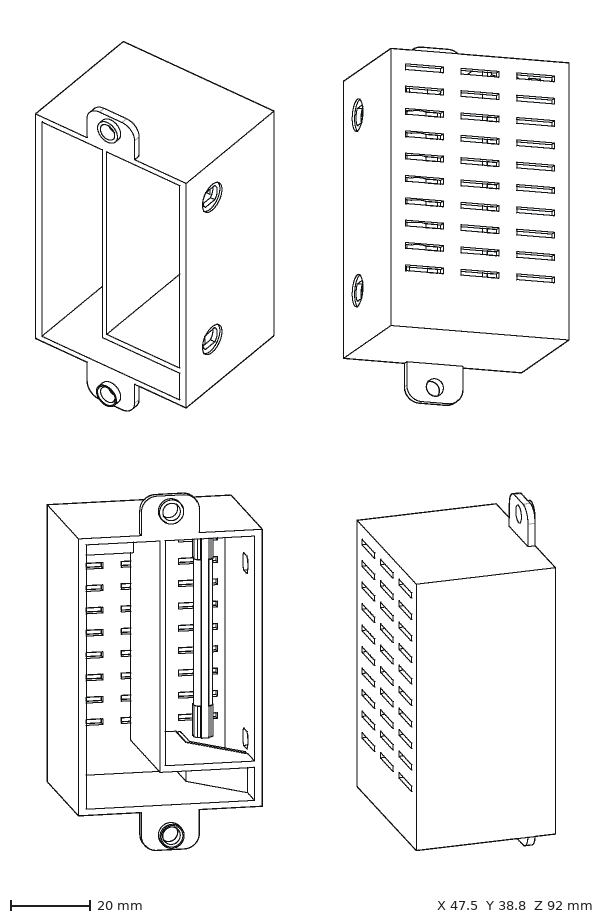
import cadquery as cq
import math


BOX_WIDTH = 47.5
BOX_DEPTH = 37.0
BOX_HEIGHT = 71.9
SIDE_WALL = 2.0
END_WALL = 1.7
BACK_WALL = 2.0
INNER_RIGHT = BOX_WIDTH / 2 - SIDE_WALL
INNER_LEFT = -INNER_RIGHT
INNER_TOP = BOX_HEIGHT / 2 - END_WALL
INNER_BOTTOM = -INNER_TOP
INNER_BACK = BOX_DEPTH - BACK_WALL

POCKET_LEFT = -1.3
POCKET_BOTTOM = -24.1
DIVIDER_SIDE = 1.4
DIVIDER_FLOOR = 1.7
CHANNEL_RIGHT = POCKET_LEFT - DIVIDER_SIDE
CHANNEL_TOP = POCKET_BOTTOM - DIVIDER_FLOOR

TOTAL_HEIGHT = 92
EAR_WIDTH = 15.0
EAR_THICKNESS = 1.9
EAR_CORNER_RADIUS = 4.0
BOSS_Z = TOTAL_HEIGHT / 2 - EAR_CORNER_RADIUS
BOSS_DIAMETER = 6.3
EAR_HOLE_DIAMETER = 4.5
TOP_BOSS_LENGTH = 1.4
BOTTOM_BOSS_LENGTH = 1.8
BOTTOM_BOSS_CHAMFER = 0.55

SLOT_WIDTH = 10.0
SLOT_HEIGHT = 1.5
SLOT_COLUMNS = 3
SLOT_ROWS = 10
SLOT_PITCH_X = 14.8
SLOT_PITCH_Z = 5.8
SLOT_CENTER_Z = 5.4

PARTITION_LEFT = 9.1
PARTITION_FRONT = 8.3
PARTITION_RUN = 15.0
PARTITION_WALL = 1.7
PARTITION_STEP = 0.2

SIDE_HOLE_DIAMETER = 6.0
SIDE_HOLE_HEIGHT = 4.5
SIDE_HOLE_Y = 10.95
SIDE_HOLE_SPACING = 45.5
COUNTERBORE_DIAMETER = 8.2
COUNTERBORE_DEPTH = 0.6

RAIL_X = 15.7
RAIL_WIDTH = 4.9
RAIL_DEPTH = 4.0
RAIL_FLAT = 1.9
RAIL_TOP = 29.1
RAIL_END = 8.2
RAIL_LENGTH = 54.4
RAIL_CENTER_Z = RAIL_TOP - RAIL_LENGTH / 2
SHOULDER_DROP = 1.0
SHOULDER_CHAMFER_X = 0.6
SHOULDER_CHAMFER_Y = 0.6

PANEL_TOP = 30.7
PANEL_BOTTOM = 23.7
PANEL_DEPTH = 3.7
LIP_LEFT = -20.7
LIP_WIDTH = 16.9
LIP_TOP = 33.4
LIP_EDGE = 32.75
LIP_BOTTOM = 31.65
LIP_DEPTH = 5.5
LIP_SLOPE_DEPTH = 2.0
FEET = 3
FOOT_WIDTH = 2.9
FOOT_PITCH = 6.1
FIRST_FOOT_X = -18.3
FOOT_DEPTH = 3.2
FOOT_RADIUS = 0.8


def block(x0, x1, y0, y1, z0, z1):
    """Box between two opposite corners."""
    return cq.Workplane("XY").box(x1 - x0, y1 - y0, z1 - z0, centered=False).translate((x0, y0, z0))


def disk(diameter, y0, y1, z):
    """Cylinder along Y on the middle plane of the box."""
    return cq.Workplane("XZ", origin=(0, y0, z)).circle(diameter / 2).extrude(y0 - y1)


def make_shell():
    half_width = BOX_WIDTH / 2
    half_height = BOX_HEIGHT / 2
    shell = block(-half_width, half_width, 0, BOX_DEPTH, -half_height, half_height)
    shell = shell.cut(block(POCKET_LEFT, INNER_RIGHT, 0, INNER_BACK, POCKET_BOTTOM, INNER_TOP))
    shell = shell.cut(block(INNER_LEFT, CHANNEL_RIGHT, 0, INNER_BACK, INNER_BOTTOM, INNER_TOP))
    return shell.cut(block(INNER_LEFT, INNER_RIGHT, 0, INNER_BACK, INNER_BOTTOM, CHANNEL_TOP))


def add_ears(body):
    half_height = TOTAL_HEIGHT / 2
    ears = block(-EAR_WIDTH / 2, EAR_WIDTH / 2, 0, EAR_THICKNESS, -half_height, half_height)
    ears = ears.edges("|Y").fillet(EAR_CORNER_RADIUS)
    ears = ears.cut(block(-EAR_WIDTH, EAR_WIDTH, 0, EAR_THICKNESS, INNER_BOTTOM, INNER_TOP))
    body = body.union(ears)
    bottom_boss = disk(BOSS_DIAMETER, -BOTTOM_BOSS_LENGTH, 0, -BOSS_Z)
    body = body.union(disk(BOSS_DIAMETER, -TOP_BOSS_LENGTH, 0, BOSS_Z)).union(bottom_boss)
    for z in (-BOSS_Z, BOSS_Z):
        body = body.cut(disk(EAR_HOLE_DIAMETER, -BOTTOM_BOSS_LENGTH, EAR_THICKNESS, z))
    flare = (
        cq.Workplane("XZ", origin=(0, -BOTTOM_BOSS_LENGTH, -BOSS_Z))
        .circle(EAR_HOLE_DIAMETER / 2 + BOTTOM_BOSS_CHAMFER)
        .workplane(offset=-BOTTOM_BOSS_CHAMFER)
        .circle(EAR_HOLE_DIAMETER / 2)
        .loft()
    )
    return body.cut(flare)


def cut_slots(body):
    slots = (
        cq.Workplane("XZ", origin=(0, BOX_DEPTH, SLOT_CENTER_Z))
        .rarray(SLOT_PITCH_X, SLOT_PITCH_Z, SLOT_COLUMNS, SLOT_ROWS)
        .rect(SLOT_WIDTH, SLOT_HEIGHT)
        .extrude(BACK_WALL)
    )
    return body.cut(slots)


def corner_prism(inset, z0, z1):
    """Prism behind the slanted partition, moved back from its front face by inset along X and Y."""
    left = PARTITION_LEFT + inset
    slope = PARTITION_RUN / (INNER_RIGHT - PARTITION_LEFT)
    wall_y = PARTITION_FRONT + inset * (1 + slope)
    left_y = PARTITION_FRONT + PARTITION_RUN + inset
    outline = [(INNER_RIGHT, wall_y), (left, left_y), (left, INNER_BACK), (INNER_RIGHT, INNER_BACK)]
    return cq.Workplane("XY", origin=(0, 0, z0)).polyline(outline).close().extrude(z1 - z0)


def add_partition(body):
    body = body.union(corner_prism(0, INNER_BOTTOM, POCKET_BOTTOM))
    body = body.cut(corner_prism(0, POCKET_BOTTOM - PARTITION_STEP, POCKET_BOTTOM))
    return body.cut(corner_prism(PARTITION_WALL / math.sqrt(2), INNER_BOTTOM, POCKET_BOTTOM))


def cut_side_holes(body):
    hole = cq.Workplane("YZ").circle(SIDE_HOLE_DIAMETER / 2).extrude(SIDE_WALL)
    hole = hole.intersect(cq.Workplane("YZ").rect(SIDE_HOLE_DIAMETER, SIDE_HOLE_HEIGHT).extrude(SIDE_WALL))
    counterbore_floor = cq.Workplane("YZ", origin=(SIDE_WALL - COUNTERBORE_DEPTH, 0, 0))
    hole = hole.union(counterbore_floor.circle(COUNTERBORE_DIAMETER / 2).extrude(COUNTERBORE_DEPTH))
    for offset in (-SIDE_HOLE_SPACING / 2, SIDE_HOLE_SPACING / 2):
        body = body.cut(hole.translate((INNER_RIGHT, SIDE_HOLE_Y, RAIL_CENTER_Z + offset)))
    return body


def rail_shoulder(bottom):
    """Chamfered end section of the rail, standing on the back wall."""
    half_width = RAIL_WIDTH / 2
    shoulder_y = INNER_BACK - RAIL_DEPTH + SHOULDER_DROP
    chamfer_x = half_width - SHOULDER_CHAMFER_X
    chamfer_y = shoulder_y + SHOULDER_CHAMFER_Y
    outline = [
        (-half_width, INNER_BACK),
        (-half_width, chamfer_y),
        (-chamfer_x, shoulder_y),
        (chamfer_x, shoulder_y),
        (half_width, chamfer_y),
        (half_width, INNER_BACK),
    ]
    return cq.Workplane("XY", origin=(0, 0, bottom)).polyline(outline).close().extrude(RAIL_END)


def make_rail():
    half_flat = RAIL_FLAT / 2
    front = INNER_BACK - RAIL_DEPTH
    bottom = RAIL_TOP - RAIL_LENGTH
    rail = block(-half_flat, half_flat, front, INNER_BACK, bottom, RAIL_TOP)
    round_section = (
        cq.Workplane("XY")
        .circle(RAIL_WIDTH / 2)
        .extrude(RAIL_LENGTH - 2 * RAIL_END)
        .rotate((0, 0, 0), (0, 0, 1), 90)
        .translate((0, front + RAIL_WIDTH / 2, bottom + RAIL_END))
    )
    rail = rail.union(round_section)
    for shoulder_bottom in (bottom, RAIL_TOP - RAIL_END):
        rail = rail.union(rail_shoulder(shoulder_bottom))
    return rail.translate((RAIL_X, 0, 0))


def add_panel_and_lip(body):
    panel_front = INNER_BACK - PANEL_DEPTH
    body = body.union(block(INNER_LEFT, CHANNEL_RIGHT, panel_front, INNER_BACK, PANEL_BOTTOM, PANEL_TOP))
    lip_front = INNER_BACK - LIP_DEPTH
    lip = (
        cq.Workplane("YZ", origin=(LIP_LEFT, 0, 0))
        .polyline([
            (INNER_BACK, LIP_TOP),
            (lip_front, LIP_TOP),
            (lip_front, LIP_EDGE),
            (lip_front + LIP_SLOPE_DEPTH, LIP_BOTTOM),
            (INNER_BACK, LIP_BOTTOM),
        ])
        .close()
        .extrude(LIP_WIDTH)
    )
    body = body.union(lip)
    foot_front = INNER_BACK - FOOT_DEPTH
    for index in range(FEET):
        x = FIRST_FOOT_X + index * FOOT_PITCH
        foot = block(x - FOOT_WIDTH / 2, x + FOOT_WIDTH / 2, foot_front, INNER_BACK, PANEL_TOP, LIP_EDGE)
        foot = foot.edges("|X and <Y and <Z").fillet(FOOT_RADIUS)
        body = body.union(foot)
    return body


result = make_shell()
result = add_ears(result)
result = cut_slots(result)
result = add_partition(result)
result = cut_side_holes(result)
result = result.union(make_rail())
result = add_panel_and_lip(result)